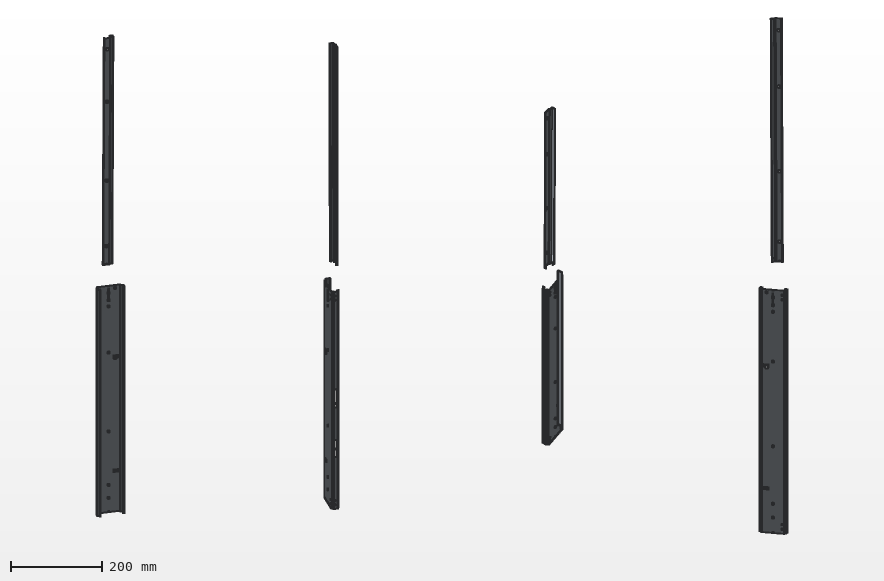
import cadquery as cq
import math

WALL = 1.7
HALF_WALL = WALL / 2
RAIL_LENGTH = 550.0

TOTAL_LENGTH = 1160.0
DEPTH = 19.0
WIDTH = 63.0
OUTER_BOTTOM = -TOTAL_LENGTH / 2
OUTER_TOP = OUTER_BOTTOM + RAIL_LENGTH
INNER_TOP = TOTAL_LENGTH / 2
INNER_BOTTOM = INNER_TOP - RAIL_LENGTH
BACK = -DEPTH / 2 + HALF_WALL
FRONT = DEPTH / 2 - HALF_WALL
SIDE = WIDTH / 2 - HALF_WALL

RACE_BACK = -3.8
RACE_FRONT = 5.2
UPPER_SHOULDER = 24.0
LOWER_SHOULDER = -28.0
LIP_REACH = 3.0
LIP_FLARE_Y = -25.0

HOOK_TOP = 3.7
HOOK_END = -2.0
HOOK_BACK = -2.5
HOOK_FRONT = 5.2
STEP_Y = -3.0
INNER_LOW = -17.0
INNER_TILT = 0.25

HOLE_LINE = -1.7
HOLE_DIAMETER = 5.2
HOLE_HEIGHTS = (-80.0, -193.0, -384.0, -514.0, -545.0)
KEYHOLE_TOP = -38.0
KEYHOLE_ROUNDS = (-48.0, -65.0)
KEYHOLE_DIAMETER = 5.6
KEYHOLE_SLOT = 2.0
END_NOTCH_WIDTH = 2.9
END_NOTCH_DEPTH = 2.0
SIDE_HOLE_Y = 13.0
SIDE_HOLES = ((-37.0, 5.2), (-206.0, 7.0))

BOSS_Y = 15.0
BOSS_LENGTH = 14.0
BOSS_HEIGHT = 6.0
BOSS_RISE = 1.7
BOSS_RIM = 1.0
BOSS_HEIGHTS = (-203.0, -480.0)

CORNER_HOLE_HEIGHTS = (-41.0, -51.0, -559.0, -570.0)
CORNER_HOLE_DIAMETER = 3.0
CORNER_HOLE_X = -1.7
CORNER_HOLE_Y = -23.0
SIDE_WINDOWS = ((-277.0, -312.0), (-314.0, -324.0), (-406.0, -427.0), (-429.0, -449.0))
SIDE_WINDOW_BACK = -1.7
SIDE_WINDOW_FRONT = 4.1
LIP_NOTCH_Z = -418.0
LIP_NOTCH_HEIGHT = 3.0

INNER_HOLE_LINE = -10.0
INNER_HOLE_DIAMETER = 6.4
INNER_HOLE_HEIGHTS = (553.0, 426.0, 234.0, 75.0)
LEG_HOLE_Y = -0.6
LEG_HOLE_DIAMETER = 2.0
LEG_HOLE_Z = INNER_BOTTOM + 9.0
LEG_CUTBACK = 2.0
INNER_NOTCH_WIDTH = 3.0


def block(x_range, y_range, z_range):
    """A box between the given limits on each axis."""
    limits = (x_range, y_range, z_range)
    sizes = [high - low for low, high in limits]
    center = tuple((low + high) / 2 for low, high in limits)
    return cq.Workplane("XY").box(*sizes).translate(center)


def around(middle, size):
    """The limits of a length centred on a place."""
    return (middle - size / 2, middle + size / 2)


def bent_sheet(path, bottom):
    """A sheet that follows an XY path at its mid-plane, with round bends and edges."""
    section = cq.Workplane("XY", origin=(0, 0, bottom)).polyline(path).offset2D(HALF_WALL)
    return section.extrude(RAIL_LENGTH)


def web_hole(web_x, y, z, diameter):
    """A cylinder along X that pierces a sheet and whatever is stamped into it."""
    start = web_x - 2 * WALL
    return cq.Workplane("YZ", origin=(start, y, z)).circle(diameter / 2).extrude(4 * WALL)


def flange_hole(flange_y, x, z, diameter):
    """A cylinder along Y that pierces a flange."""
    start = flange_y + WALL
    return cq.Workplane("XZ", origin=(x, start, z)).circle(diameter / 2).extrude(2 * WALL)


def web_slot(web_x, y_range, z_range):
    """A rectangular cutter through a sheet that faces X."""
    return block(around(web_x, 2 * WALL), y_range, z_range)


def add_boss(rail, z):
    """Stamp one boss into the outer web."""
    inner_face = BACK + HALF_WALL
    outer_face = BACK - HALF_WALL
    raised = block(
        (inner_face - HALF_WALL, inner_face + BOSS_RISE),
        around(BOSS_Y, BOSS_LENGTH),
        around(z, BOSS_HEIGHT),
    )
    recess = block(
        (outer_face, outer_face + BOSS_RISE),
        around(BOSS_Y, BOSS_LENGTH - 2 * BOSS_RIM),
        around(z, BOSS_HEIGHT - 2 * BOSS_RIM),
    )
    return rail.union(raised).cut(recess)


def cut_keyhole(rail):
    """Two round holes joined by a narrow slot that runs on above the upper one."""
    rail = rail.cut(
        web_slot(BACK, around(HOLE_LINE, KEYHOLE_SLOT), (KEYHOLE_ROUNDS[-1], KEYHOLE_TOP))
    )
    for z in KEYHOLE_ROUNDS:
        rail = rail.cut(web_hole(BACK, HOLE_LINE, z, KEYHOLE_DIAMETER))
    return rail


def cut_web_openings(rail):
    for z in HOLE_HEIGHTS:
        rail = rail.cut(web_hole(BACK, HOLE_LINE, z, HOLE_DIAMETER))
    for z, diameter in SIDE_HOLES:
        rail = rail.cut(web_hole(BACK, SIDE_HOLE_Y, z, diameter))
    for end in (OUTER_TOP, OUTER_BOTTOM):
        rail = rail.cut(
            web_slot(BACK, around(HOLE_LINE, END_NOTCH_WIDTH), around(end, 2 * END_NOTCH_DEPTH))
        )
    return cut_keyhole(rail)


def cut_side_openings(rail):
    """Paired holes beside the lower shoulder, windows in the lower flange and a notch in its lip."""
    for z in CORNER_HOLE_HEIGHTS:
        rail = rail.cut(web_hole(BACK, CORNER_HOLE_Y, z, CORNER_HOLE_DIAMETER))
        rail = rail.cut(flange_hole(-SIDE, CORNER_HOLE_X, z, CORNER_HOLE_DIAMETER))
    for top, bottom in SIDE_WINDOWS:
        rail = rail.cut(
            block(
                (SIDE_WINDOW_BACK, SIDE_WINDOW_FRONT),
                around(-SIDE, 2 * WALL),
                (bottom, top),
            )
        )
    lip_notch = block(
        (RACE_FRONT + HALF_WALL, DEPTH / 2),
        around(LIP_FLARE_Y, 2 * WALL),
        around(LIP_NOTCH_Z, LIP_NOTCH_HEIGHT),
    )
    return rail.cut(lip_notch)


def outer_rail():
    path = [
        (RACE_FRONT, SIDE - LIP_REACH),
        (RACE_FRONT, SIDE),
        (RACE_BACK, SIDE),
        (RACE_BACK, UPPER_SHOULDER),
        (BACK, UPPER_SHOULDER),
        (BACK, LOWER_SHOULDER),
        (RACE_BACK, LOWER_SHOULDER),
        (RACE_BACK, -SIDE),
        (RACE_FRONT, -SIDE),
        (RACE_FRONT, LIP_FLARE_Y),
        (FRONT, LIP_FLARE_Y),
    ]
    rail = bent_sheet(path, OUTER_BOTTOM)
    for z in BOSS_HEIGHTS:
        rail = add_boss(rail, z)
    return cut_side_openings(cut_web_openings(rail))


def inner_rail():
    path = [
        (HOOK_BACK, HOOK_END),
        (HOOK_BACK, HOOK_TOP),
        (HOOK_FRONT, HOOK_TOP),
        (HOOK_FRONT, STEP_Y),
        (FRONT, STEP_Y),
        (FRONT, INNER_LOW),
        (HOOK_FRONT, INNER_LOW),
    ]
    rail = bent_sheet(path, INNER_BOTTOM)
    for z in INNER_HOLE_HEIGHTS:
        rail = rail.cut(web_hole(FRONT, INNER_HOLE_LINE, z, INNER_HOLE_DIAMETER))
    rail = rail.cut(web_hole(HOOK_BACK, LEG_HOLE_Y, LEG_HOLE_Z, LEG_HOLE_DIAMETER))

    leg_end = web_slot(
        HOOK_BACK, (HOOK_END - WALL, HOOK_TOP - WALL), around(INNER_BOTTOM, 2 * LEG_CUTBACK)
    )
    end_notch = web_slot(
        FRONT, around(INNER_HOLE_LINE, INNER_NOTCH_WIDTH), around(INNER_BOTTOM, 2 * END_NOTCH_DEPTH)
    )
    rail = rail.cut(leg_end).cut(end_notch)

    middle = (INNER_TOP + INNER_BOTTOM) / 2
    leaning = rail.rotate((0, 0, middle), (1, 0, middle), -INNER_TILT)
    rise = (HALF_WALL - INNER_LOW) * math.sin(math.radians(INNER_TILT))
    return leaning.translate((0, 0, -rise))


outer = outer_rail()
inner = inner_rail()
result = cq.Compound.makeCompound([outer.val(), inner.val()])